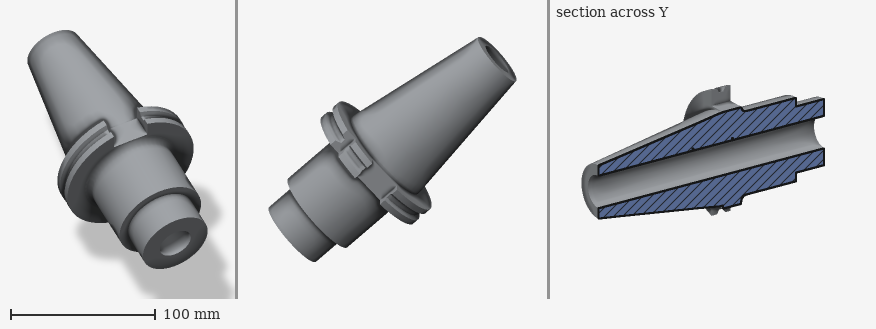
import cadquery as cq
import math

TOTAL_LENGTH = 190.6
TAPER_LENGTH = 101.8
NECK_START = 103.0
FLANGE_START = 104.9
FLANGE_END = 120.9
BARREL_END = 167.2

TAPER_LARGE_RADIUS = 34.9
TAPER_RATIO = 7 / 24
TAPER_SMALL_RADIUS = TAPER_LARGE_RADIUS - TAPER_RATIO * TAPER_LENGTH / 2
NECK_RADIUS = 35.0
FLANGE_DIAMETER = 97.5
FLANGE_RADIUS = FLANGE_DIAMETER / 2
BARREL_RADIUS = 31.5
NOSE_RADIUS = 25.0
BORE_RADIUS = 12.0

FILLET_RADIUS = 4.0

GROOVE_CENTER = (FLANGE_START + FLANGE_END) / 2
GROOVE_TOP_WIDTH = 6.9
GROOVE_FLOOR_WIDTH = 3.5
GROOVE_DEPTH = 3.0

SLOT_WIDTH = 25.7
TOP_SLOT_FLOOR = 35.3
BOTTOM_SLOT_FLOOR = 37.4
NOTCH_SIDE = 30.1


def turned_body():
    """Revolve the half profile about X; the fillet is tangent to the flange and barrel."""
    groove_radius = FLANGE_RADIUS - GROOVE_DEPTH
    fillet_end = FLANGE_END + FILLET_RADIUS
    fillet_top = BARREL_RADIUS + FILLET_RADIUS
    fillet_offset = FILLET_RADIUS * math.sqrt(0.5)
    fillet_middle = (fillet_end - fillet_offset, fillet_top - fillet_offset)

    return (
        cq.Workplane("XY")
        .moveTo(0, BORE_RADIUS)
        .lineTo(0, TAPER_SMALL_RADIUS)
        .lineTo(TAPER_LENGTH, TAPER_LARGE_RADIUS)
        .lineTo(NECK_START, NECK_RADIUS)
        .lineTo(FLANGE_START, NECK_RADIUS)
        .lineTo(FLANGE_START, FLANGE_RADIUS)
        .lineTo(GROOVE_CENTER - GROOVE_TOP_WIDTH / 2, FLANGE_RADIUS)
        .lineTo(GROOVE_CENTER - GROOVE_FLOOR_WIDTH / 2, groove_radius)
        .lineTo(GROOVE_CENTER + GROOVE_FLOOR_WIDTH / 2, groove_radius)
        .lineTo(GROOVE_CENTER + GROOVE_TOP_WIDTH / 2, FLANGE_RADIUS)
        .lineTo(FLANGE_END, FLANGE_RADIUS)
        .lineTo(FLANGE_END, fillet_top)
        .threePointArc(fillet_middle, (fillet_end, BARREL_RADIUS))
        .lineTo(BARREL_END, BARREL_RADIUS)
        .lineTo(BARREL_END, NOSE_RADIUS)
        .lineTo(TOTAL_LENGTH, NOSE_RADIUS)
        .lineTo(TOTAL_LENGTH, BORE_RADIUS)
        .close()
        .revolve(360, (0, 0, 0), (1, 0, 0))
    )


def flange_cutter(y_min, y_max, z_min, z_max):
    """Box spanning the flange thickness between the given Y and Z limits."""
    size = (FLANGE_END - FLANGE_START, y_max - y_min, z_max - z_min)
    return cq.Workplane("XY").box(*size, centered=False).translate((FLANGE_START, y_min, z_min))


half_slot = SLOT_WIDTH / 2
top_slot = flange_cutter(-half_slot, half_slot, TOP_SLOT_FLOOR, FLANGE_RADIUS)
bottom_slot = flange_cutter(-half_slot, half_slot, -FLANGE_RADIUS, -BOTTOM_SLOT_FLOOR)
notch = flange_cutter(NOTCH_SIDE, FLANGE_RADIUS, -FLANGE_RADIUS, -NOTCH_SIDE)

result = turned_body().cut(top_slot).cut(bottom_slot).cut(notch)